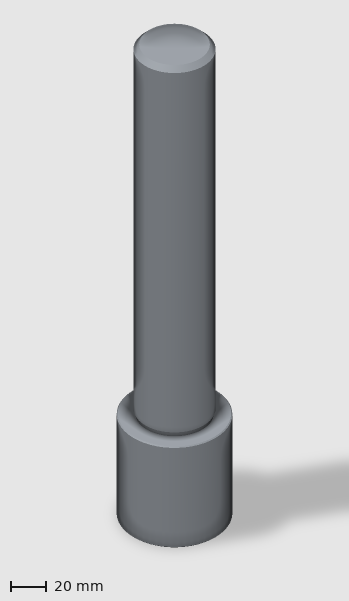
import cadquery as cq

total_length = 325.0
head_diameter = 65.0
head_length = 70.0
head_edge_chamfer = 0.5
shank_diameter = 46.0
shank_end_chamfer = 3.2
neck_diameter = 44.2
neck_length = 3.2

head_radius = head_diameter / 2
shank_radius = shank_diameter / 2
neck_radius = neck_diameter / 2
shank_start = head_length + neck_length

profile = (
    cq.Workplane("XZ")
    .moveTo(0, 0)
    .lineTo(head_radius - head_edge_chamfer, 0)
    .lineTo(head_radius, head_edge_chamfer)
    .lineTo(head_radius, head_length - head_edge_chamfer)
    .lineTo(head_radius - head_edge_chamfer, head_length)
    .lineTo(neck_radius, head_length)
    .lineTo(neck_radius, shank_start)
    .lineTo(shank_radius, shank_start)
    .lineTo(shank_radius, total_length - shank_end_chamfer)
    .lineTo(shank_radius - shank_end_chamfer, total_length)
    .lineTo(0, total_length)
    .close()
)

result = profile.revolve(360, (0, 0), (0, 1))